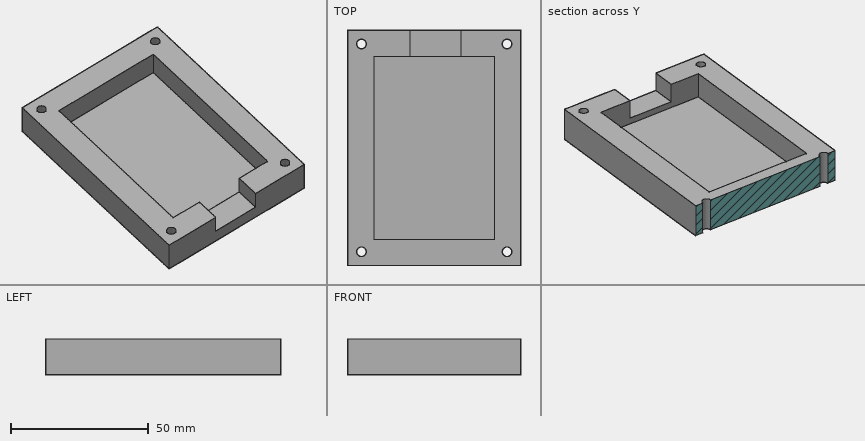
import cadquery as cq

length_x = 62.86
length_y = 85.48
height = 13.0

wall = 9.5
pocket_depth = 10.0

notch_width = 18.5
notch_center_x = 0.5
notch_depth = 7.5

hole_diameter = 3.4
hole_inset = 5.0


def top_cut(size_x, size_y, depth, center_x, center_y):
    """Box that removes material from the top face down to the given depth."""
    return (
        cq.Workplane("XY", origin=(center_x, center_y, height - depth))
        .rect(size_x, size_y)
        .extrude(depth)
    )


block = cq.Workplane("XY").rect(length_x, length_y).extrude(height)

pocket = top_cut(length_x - 2 * wall, length_y - 2 * wall, pocket_depth, 0, 0)

notch = top_cut(notch_width, wall, notch_depth, notch_center_x, (length_y - wall) / 2)

screw_holes = (
    cq.Workplane("XY")
    .rect(length_x - 2 * hole_inset, length_y - 2 * hole_inset, forConstruction=True)
    .vertices()
    .circle(hole_diameter / 2)
    .extrude(height)
)

result = block.cut(pocket).cut(notch).cut(screw_holes)